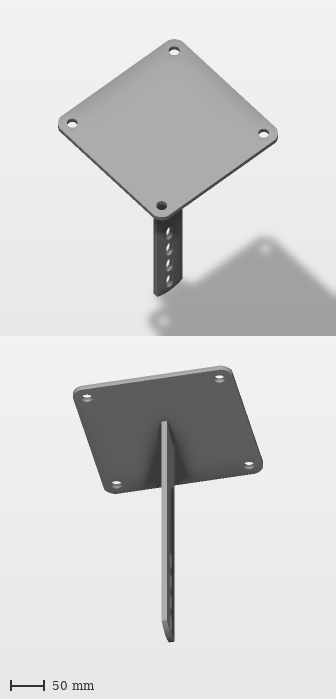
import cadquery as cq
import math

total_height = 403.0
plate_side = 240.0
plate_thickness = 8.0
corner_radius = 21.0

hole_spacing = 200.0
hole_diameter = 16.0

blade_width = 50.0
blade_thickness = 8.0
tip_radius = 50.0

slot_count = 4
slot_pitch = 40.0
slot_length = 30.0
slot_width = 12.0
lowest_slot_height = 25.0

plate_underside = total_height - plate_thickness


def make_plate():
    """Square top plate with an arc around each corner hole, meeting the sides at a slight angle."""
    half_side = plate_side / 2
    hole_offset = hole_spacing / 2
    edge_distance = half_side - hole_offset
    arc_end = hole_offset + math.sqrt(corner_radius**2 - edge_distance**2)
    arc_middle = hole_offset + corner_radius / math.sqrt(2)

    outline = cq.Workplane("XY", origin=(0, 0, plate_underside)).moveTo(half_side, -arc_end)
    for x, y in [(1, 1), (-1, 1), (-1, -1), (1, -1)]:
        side_end = (x * half_side, y * arc_end)
        top_end = (x * arc_end, y * half_side)
        start, end = (side_end, top_end) if x == y else (top_end, side_end)
        outline = outline.lineTo(*start).threePointArc((x * arc_middle, y * arc_middle), end)
    plate = outline.close().extrude(plate_thickness)
    return (
        plate.faces(">Z")
        .workplane(origin=(0, 0, total_height))
        .rect(hole_spacing, hole_spacing, forConstruction=True)
        .vertices()
        .hole(hole_diameter)
    )


def make_blade():
    """Flat upright blade with a curved tip, cut by a row of slots."""
    half_width = blade_width / 2
    tip_rise = tip_radius - math.sqrt(tip_radius**2 - half_width**2)
    blade = (
        cq.Workplane("YZ")
        .moveTo(-half_width, plate_underside)
        .lineTo(-half_width, tip_rise)
        .threePointArc((0, 0), (half_width, tip_rise))
        .lineTo(half_width, plate_underside)
        .close()
        .extrude(blade_thickness / 2, both=True)
    )
    slot_centres = [(0, lowest_slot_height + i * slot_pitch) for i in range(slot_count)]
    slots = (
        cq.Workplane("YZ")
        .pushPoints(slot_centres)
        .slot2D(slot_length, slot_width, 90)
        .extrude(blade_thickness, both=True)
    )
    return blade.cut(slots)


plate = make_plate()
blade = make_blade()

result = cq.Compound.makeCompound([plate.val(), blade.val()])